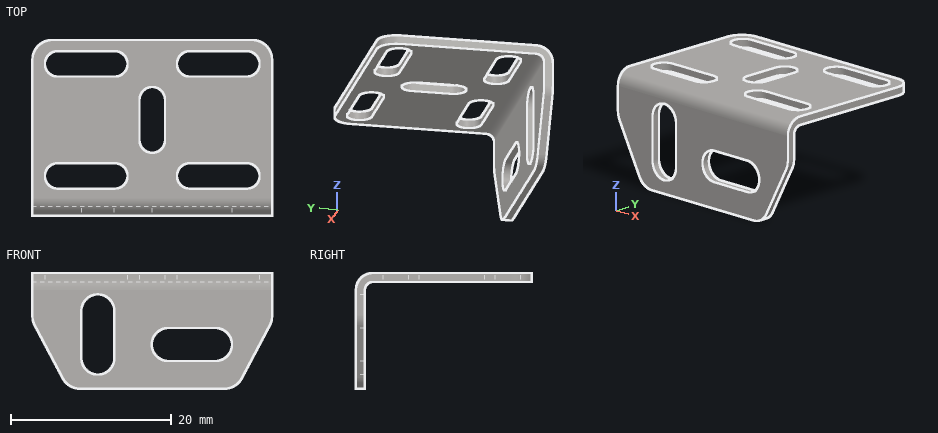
import cadquery as cq

width = 30.0
depth = 22.0
height = 14.5
thickness = 1.15

inner_bend_radius = 1.0
outer_bend_radius = inner_bend_radius + thickness

corner_radius = 2.5
taper_width = 4.5
taper_start_drop = 6.0

top_slot_width = 3.15
side_slot_length = 10.3
side_slot_pitch_x = 16.5
side_slot_pitch_y = 14.0
center_slot_length = 8.2
rear_slot_inset = 3.0

flange_slot_width = 4.1
flange_slot_length = 10.0
upright_slot_x = -6.8
upright_slot_drop = 7.7
level_slot_x = 4.95
level_slot_drop = 8.95

half_width = width / 2
plate_bottom = height - thickness
top_slot_center_y = depth - rear_slot_inset - side_slot_pitch_y / 2


def bent_sheet():
    """L-shaped sheet with concentric bend radii, extruded along X."""
    sheet = (
        cq.Workplane("YZ")
        .polyline([
            (0, 0),
            (thickness, 0),
            (thickness, plate_bottom),
            (depth, plate_bottom),
            (depth, height),
            (0, height),
        ])
        .close()
        .extrude(half_width, both=True)
    )
    inner_edge = cq.selectors.NearestToPointSelector((0, thickness, plate_bottom))
    outer_edge = cq.selectors.NearestToPointSelector((0, 0, height))
    sheet = sheet.edges(inner_edge).fillet(inner_bend_radius)
    return sheet.edges(outer_edge).fillet(outer_bend_radius)


def plate_outline():
    """Full-height prism that rounds the two rear corners of the top plate."""
    return (
        cq.Workplane("XY")
        .rect(width, depth)
        .extrude(height)
        .edges("|Z and >Y")
        .fillet(corner_radius)
        .translate((0, depth / 2, 0))
    )


def flange_outline():
    """Full-depth prism with the tapered, rounded lower corners of the flange."""
    taper_start = height - taper_start_drop
    bottom_half_width = half_width - taper_width
    prism = (
        cq.Workplane("XZ")
        .polyline([
            (-half_width, height),
            (-half_width, taper_start),
            (-bottom_half_width, 0),
            (bottom_half_width, 0),
            (half_width, taper_start),
            (half_width, height),
        ])
        .close()
        .extrude(-depth)
    )
    top_corners = prism.faces(">Z").edges("|Y").vals()
    rounded_edges = [
        edge for edge in prism.edges("|Y").vals()
        if not any(edge.isSame(corner) for corner in top_corners)
    ]
    return prism.newObject(rounded_edges).fillet(corner_radius)


def plate_slot(x, y, length, angle):
    """Cutter for a slot through the top plate; angle 0 runs along X."""
    return (
        cq.Workplane("XY", origin=(x, y, plate_bottom))
        .slot2D(length, top_slot_width, angle)
        .extrude(thickness)
    )


def flange_slot(x, drop, angle):
    """Cutter for a slot through the flange, placed by its drop below the top face."""
    return (
        cq.Workplane("XZ", origin=(x, 0, height - drop))
        .slot2D(flange_slot_length, flange_slot_width, angle)
        .extrude(-thickness)
    )


bracket = bent_sheet().intersect(plate_outline()).intersect(flange_outline())

for side_x in (-1, 1):
    for side_y in (-1, 1):
        slot_x = side_x * side_slot_pitch_x / 2
        slot_y = top_slot_center_y + side_y * side_slot_pitch_y / 2
        bracket = bracket.cut(plate_slot(slot_x, slot_y, side_slot_length, 0))
bracket = bracket.cut(plate_slot(0, top_slot_center_y, center_slot_length, 90))

bracket = bracket.cut(flange_slot(upright_slot_x, upright_slot_drop, 90))
bracket = bracket.cut(flange_slot(level_slot_x, level_slot_drop, 0))

result = bracket